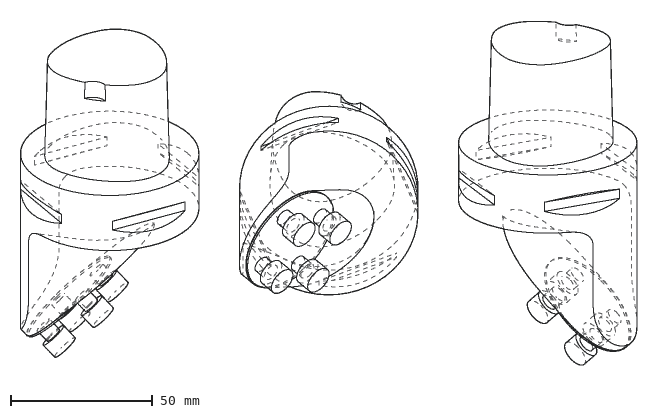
import cadquery as cq
import math


TOTAL_HEIGHT = 116.0

SHANK_HEIGHT = 37.9
LOBE_REACH = 23.2
SIDE_REACH = 20.6
LOBE_RADIUS = 15.4
TAPER_INSET = 0.9
NOTCH_RADIUS = 5.0
NOTCH_FLOOR_Y = -17.9
NOTCH_DEPTH = 6.4

FLANGE_DIAMETER = 63.0
FLANGE_RADIUS = FLANGE_DIAMETER / 2
FLANGE_HEIGHT = 22.0
GROOVE_Z = -12.1
GROOVE_FLOOR_WIDTH = 3.5
GROOVE_FLOOR_REACH = 27.8
GROOVE_WALL_ANGLE = 30
GROOVE_CUT_LENGTH = FLANGE_DIAMETER

NECK_WIDTH = 40.6
NECK_RADIUS = NECK_WIDTH / 2
NECK_CENTER_X = -4.8
NECK_FILLET = 6.4
BODY_DEPTH = 81.2
SEAT_ANGLE = 45
SEAT_X = -15.1
SEAT_Z = -59.1
SEAT_SPAN = 3 * FLANGE_DIAMETER

PAD_DIAMETER = 40.0
PAD_HEIGHT = 0.7
SCREW_SPACING = 19.7
SCREW_DIAMETER = 6.0
SCREW_HEAD_DIAMETER = 10.0
SCREW_HEAD_HEIGHT = 6.0
LOWEST_Z = SHANK_HEIGHT - TOTAL_HEIGHT
SCREW_REACH = (
    (SEAT_Z - LOWEST_Z) / math.cos(math.radians(SEAT_ANGLE))
    - (SCREW_SPACING + SCREW_HEAD_DIAMETER) / 2
)


def polar(radius, degrees):
    angle = math.radians(degrees)
    return (radius * math.cos(angle), radius * math.sin(angle))


def lobed_outline(inset, z):
    """Closed outline of six tangent arcs, offset inward by inset."""
    lobe_offset = LOBE_REACH - LOBE_RADIUS
    gap = SIDE_REACH - LOBE_RADIUS
    side_offset = (lobe_offset**2 - gap**2) / (2 * gap - lobe_offset)
    turn = math.degrees(
        math.atan2(lobe_offset * math.sin(math.pi / 3), side_offset + lobe_offset / 2)
    )
    lobe_radius = LOBE_RADIUS - inset

    def joint(lobe_angle, side):
        center = polar(lobe_offset, lobe_angle)
        reach = polar(lobe_radius, lobe_angle + side * (60 - turn))
        return (center[0] + reach[0], center[1] + reach[1])

    outline = cq.Workplane("XY").workplane(offset=z).moveTo(*joint(90, -1))
    for lobe_angle in (90, 210, 330):
        outline = outline.threePointArc(
            polar(LOBE_REACH - inset, lobe_angle), joint(lobe_angle, 1)
        )
        outline = outline.threePointArc(
            polar(SIDE_REACH - inset, lobe_angle + 60), joint(lobe_angle + 120, -1)
        )
    return outline.close().wire().val()


def make_shank():
    base = lobed_outline(0, 0)
    top = lobed_outline(TAPER_INSET, SHANK_HEIGHT)
    shank = cq.Workplane(cq.Solid.makeLoft([base, top], True))
    notch = (
        cq.Workplane("XY")
        .workplane(offset=SHANK_HEIGHT - NOTCH_DEPTH)
        .center(0, NOTCH_FLOOR_Y - NOTCH_RADIUS)
        .circle(NOTCH_RADIUS)
        .extrude(NOTCH_DEPTH)
    )
    return shank.cut(notch)


def cut_grooves(body):
    depth = FLANGE_RADIUS - GROOVE_FLOOR_REACH
    floor_half = GROOVE_FLOOR_WIDTH / 2
    mouth_half = floor_half + depth * math.tan(math.radians(GROOVE_WALL_ANGLE))
    groove = (
        cq.Workplane("XZ")
        .polyline([
            (GROOVE_FLOOR_REACH, GROOVE_Z - floor_half),
            (FLANGE_RADIUS, GROOVE_Z - mouth_half),
            (FLANGE_RADIUS, GROOVE_Z + mouth_half),
            (GROOVE_FLOOR_REACH, GROOVE_Z + floor_half),
        ])
        .close()
        .extrude(GROOVE_CUT_LENGTH / 2, both=True)
    )
    for angle in (45, 135, 225, 315):
        body = body.cut(groove.rotate((0, 0, 0), (0, 0, 1), angle))
    return body


def neck_slab(radius, height, bottom):
    """Rounded slab running from its +X end arc past the -X side of the flange."""
    round_end = cq.Workplane("XY").center(NECK_CENTER_X, 0).circle(radius).extrude(height)
    straight = (
        cq.Workplane("XY")
        .center(NECK_CENTER_X - FLANGE_DIAMETER / 2, 0)
        .rect(FLANGE_DIAMETER, 2 * radius)
        .extrude(height)
    )
    return round_end.union(straight).translate((0, 0, bottom))


def make_neck():
    neck = neck_slab(NECK_RADIUS, BODY_DEPTH, -BODY_DEPTH)
    root_plate = neck_slab(FLANGE_DIAMETER, NECK_FILLET, -FLANGE_HEIGHT)
    edge_margin = 1.2
    root_edge = cq.selectors.BoxSelector(
        (-FLANGE_DIAMETER, -FLANGE_RADIUS, -FLANGE_HEIGHT - edge_margin),
        (FLANGE_RADIUS, FLANGE_RADIUS, -FLANGE_HEIGHT + edge_margin),
    )
    neck = neck.union(root_plate).edges(root_edge).fillet(NECK_FILLET)
    below_flange = (
        cq.Workplane("XY")
        .workplane(offset=-FLANGE_HEIGHT)
        .circle(FLANGE_RADIUS)
        .extrude(-BODY_DEPTH)
    )
    return neck.intersect(below_flange)


def on_seat(shape):
    """Move a shape from the XY plane to the seat, with +Z turned to the outward normal."""
    return shape.rotate((0, 0, 0), (0, 1, 0), 180 - SEAT_ANGLE).translate((SEAT_X, 0, SEAT_Z))


def trim_to_seat(body):
    """Keep the stock behind the seat and round its lower end about the seat normal."""
    round_end = cq.Workplane("XY").circle(NECK_RADIUS).extrude(-SEAT_SPAN)
    upper_side = (
        cq.Workplane("XY")
        .center(-SEAT_SPAN / 2, 0)
        .rect(SEAT_SPAN, SEAT_SPAN)
        .extrude(-SEAT_SPAN)
    )
    return body.intersect(on_seat(upper_side.union(round_end)))


def make_seat_parts():
    pad = cq.Workplane("XY").circle(PAD_DIAMETER / 2).extrude(PAD_HEIGHT)
    screw_places = cq.Workplane("XY").rect(SCREW_SPACING, SCREW_SPACING, forConstruction=True).vertices()
    stems = screw_places.circle(SCREW_DIAMETER / 2).extrude(SCREW_REACH)
    heads = (
        cq.Workplane("XY")
        .workplane(offset=SCREW_REACH - SCREW_HEAD_HEIGHT)
        .rect(SCREW_SPACING, SCREW_SPACING, forConstruction=True)
        .vertices()
        .circle(SCREW_HEAD_DIAMETER / 2)
        .extrude(SCREW_HEAD_HEIGHT)
    )
    return on_seat(pad.union(stems).union(heads))


flange = cut_grooves(cq.Workplane("XY").circle(FLANGE_RADIUS).extrude(-FLANGE_HEIGHT))
neck = trim_to_seat(make_neck())
result = flange.union(neck).union(make_shank()).union(make_seat_parts())